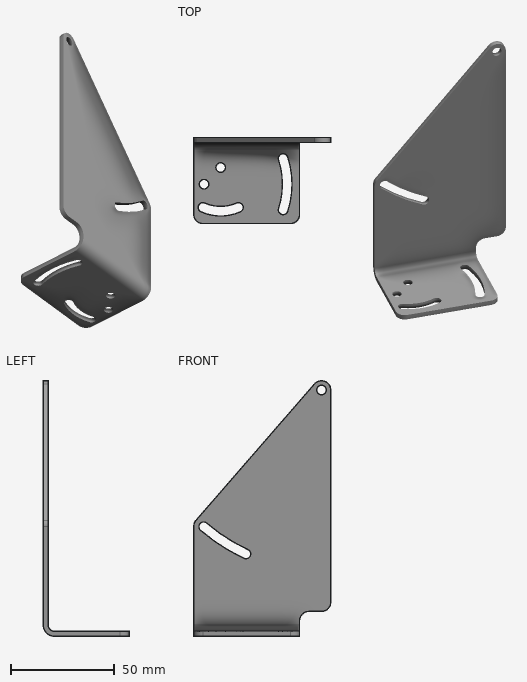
import cadquery as cq
import math

thickness = 2.5
bend_inner_radius = 3.0
bend_outer_radius = bend_inner_radius + thickness

plate_width = 66.0
plate_height = 123.0
base_width = 51.0
base_depth = 41.5
corner_radius = 4.5
ledge_height = 12.0
slope_corner_height = 52.9

hole_diameter = 4.5

tilt_pivot = (plate_width - corner_radius, plate_height - corner_radius)
tilt_slot_radius = 86.8
tilt_slot_start = 229.25
tilt_slot_end = 245.25

front_pivot = (13.0, -14.5)
front_slot_radius = 21.0
front_slot_half_angle = 24.0
pivot_offset = 8.0
side_pivot = (front_pivot[0] - pivot_offset, front_pivot[1] - pivot_offset)
side_slot_radius = 40.0
side_slot_half_angle = 18.0


def polar(center, radius, angle):
    """Point at a radius and an angle in degrees from a center."""
    turn = math.radians(angle)
    return (center[0] + radius * math.cos(turn), center[1] + radius * math.sin(turn))


def arc_slot(workplane, center, radius, start, end, depth):
    """Round-ended slot along an arc from start to end, in degrees."""
    half_width = hole_diameter / 2
    middle = (start + end) / 2
    inner = radius - half_width
    outer = radius + half_width
    end_tip = polar(polar(center, radius, end), half_width, end + 90)
    start_tip = polar(polar(center, radius, start), half_width, start - 90)
    return (
        workplane.moveTo(*polar(center, outer, start))
        .threePointArc(polar(center, outer, middle), polar(center, outer, end))
        .threePointArc(end_tip, polar(center, inner, end))
        .threePointArc(polar(center, inner, middle), polar(center, inner, start))
        .threePointArc(start_tip, polar(center, outer, start))
        .close()
        .extrude(depth)
    )


def round_hole(workplane, center, depth):
    return workplane.center(*center).circle(hole_diameter / 2).extrude(depth)


def bent_sheet():
    """L-shaped section with the rounded bend, over the full plate width."""
    return (
        cq.Workplane("YZ")
        .moveTo(-base_depth, 0)
        .lineTo(-bend_outer_radius, 0)
        .radiusArc((0, bend_outer_radius), -bend_outer_radius)
        .lineTo(0, plate_height)
        .lineTo(-thickness, plate_height)
        .lineTo(-thickness, bend_outer_radius)
        .radiusArc((-bend_outer_radius, thickness), bend_inner_radius)
        .lineTo(-base_depth, thickness)
        .close()
        .extrude(plate_width)
    )


def front_outline():
    """Back plate outline, running down to the base, as a prism along Y."""
    slope_corner = (corner_radius, slope_corner_height)
    rise = tilt_pivot[1] - slope_corner[1]
    run = tilt_pivot[0] - slope_corner[0]
    slope_normal = math.degrees(math.atan2(rise, run)) + 90
    left = 180
    outline = (
        cq.Workplane("XZ")
        .moveTo(0, 0)
        .lineTo(base_width, 0)
        .lineTo(base_width, ledge_height - corner_radius)
        .radiusArc((base_width + corner_radius, ledge_height), corner_radius)
        .lineTo(plate_width - corner_radius, ledge_height)
        .radiusArc((plate_width, ledge_height + corner_radius), -corner_radius)
        .lineTo(plate_width, tilt_pivot[1])
        .threePointArc(
            polar(tilt_pivot, corner_radius, slope_normal / 2),
            polar(tilt_pivot, corner_radius, slope_normal),
        )
        .lineTo(*polar(slope_corner, corner_radius, slope_normal))
        .threePointArc(
            polar(slope_corner, corner_radius, (slope_normal + left) / 2),
            polar(slope_corner, corner_radius, left),
        )
        .close()
    )
    return outline.extrude(base_depth)


def back_plate_cuts():
    plane = cq.Workplane("XZ")
    slot = arc_slot(plane, tilt_pivot, tilt_slot_radius, tilt_slot_start, tilt_slot_end, thickness)
    return slot.union(round_hole(plane, tilt_pivot, thickness))


def base_cuts():
    plane = cq.Workplane("XY")
    toward_front = 270
    toward_right = 0
    slots = (
        (front_pivot, front_slot_radius, toward_front, front_slot_half_angle),
        (side_pivot, side_slot_radius, toward_right, side_slot_half_angle),
    )
    cuts = cq.Workplane("XY")
    for pivot, radius, middle, half_angle in slots:
        start = middle - half_angle
        end = middle + half_angle
        cuts = cuts.add(round_hole(plane, pivot, thickness))
        cuts = cuts.add(arc_slot(plane, pivot, radius, start, end, thickness))
    return cuts.combine()


bracket = bent_sheet().intersect(front_outline())
bracket = bracket.faces("<Y").edges("|Z").fillet(corner_radius)
result = bracket.cut(back_plate_cuts()).cut(base_cuts())